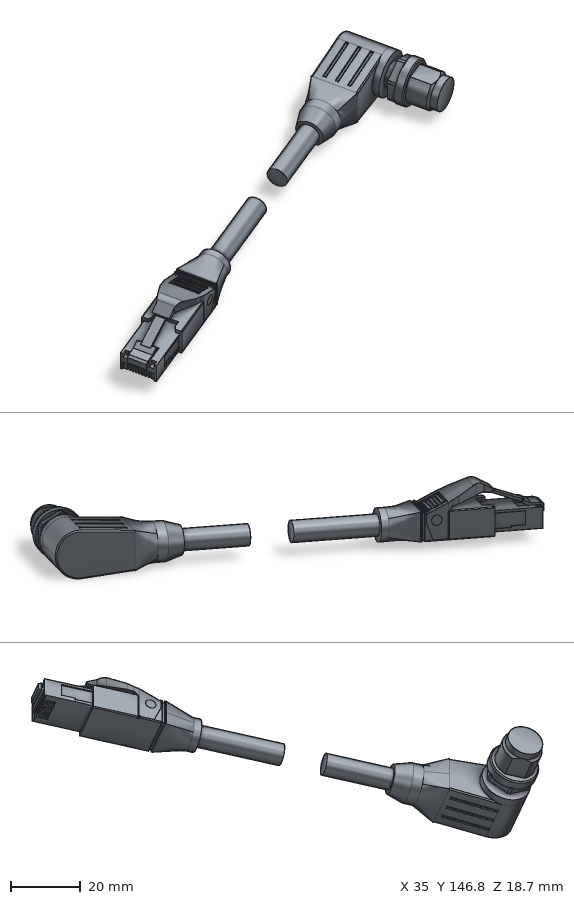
import cadquery as cq
import math

CABLE_D = 6.5

BODY_HALF_W = 7.5
HEAD_D = 14.6
HEAD_END_X = 9.75
SHOULDER_Y = -16.4
SHOULDER_H = 12.0
BODY_CHAMFER = 0.4

GRIP_PITCH = 4.0
GRIP_WIDTH = 0.9
GRIP_DEPTH = 0.5
GRIP_START_Y = -0.7
GRIP_END_Y = -15.0

BOOT_D = 12.0
BOOT_ROUND_Y = -23.7
BOOT_CONE_Y = -26.8
BOOT_END_Y = -31.9
BOOT_END_D = 8.9
ANGLED_CABLE_END_Y = -52.0

NECK_D = 8.4
HEX_START_X = 12.0
HEX_ACROSS_FLATS = 12.8
HEX_CORNER_D = 14.3
FLANGE_START_X = 14.6
FLANGE_END_X = 17.6
FLANGE_D = 14.8
FLANGE_CHAMFER = 0.4
SHELL_D = 12.0
SHELL_TIP_D = 10.5
SHELL_CHAMFER = (SHELL_D - SHELL_TIP_D) / 2
SHELL_CHAMFER_X = 24.45
CONNECTOR_END_X = 27.5

PLUG_CABLE_START_Y = -64.85
COLLAR_START_Y = -90.5
COLLAR_END_Y = -92.8
COLLAR_D = 9.9
CASE_START_Y = -101.8
CASE_END_Y = -123.8
CASE_W = 13.1
CASE_TOP_Z = 4.7
CASE_BOTTOM_Z = -4.2
CASE_CHAMFER = 0.3
STRAIN_W = 12.6
GROOVE_Y = -102.6
GROOVE_W = 0.8
GROOVE_DEPTH = 0.5

NOSE_END_Y = -138.35
NOSE_W = 11.6
NOSE_TOP_Z = 3.4
NOSE_BOTTOM_Z = -3.0
SIDE_RECESS_DEPTH = 0.4
SIDE_RECESS_END_Y = -133.2
SIDE_RECESS_STEP_Y = -129.0
SIDE_RECESS_TOP_Z = 2.6
SIDE_RECESS_BOTTOM_Z = -2.1
SIDE_RECESS_STEP_Z = -1.6

CONTACT_COUNT = 8
CONTACT_PITCH = 1.02
CONTACT_SLOT_W = 0.5
CONTACT_SLOT_LENGTH = 4.0
CONTACT_TOP_Z = -0.2
FACE_RECESS_W = 10.2
FACE_RECESS_DEPTH = 0.5
CORNER_NOTCH_INNER_X = 3.6
CORNER_NOTCH_OUTER_X = 5.0
CORNER_NOTCH_LENGTH = 1.6
CORNER_NOTCH_BOTTOM_Z = 1.9

CHANNEL_W = 7.6
CHANNEL_MOUTH_W = 9.0
CHANNEL_START_Y = -120.8
CHANNEL_FLARE_Y = -122.8

LATCH_W = 6.2
LATCH_ARM_W = 3.2
LATCH_ROOT_Y = -133.2
LATCH_END_Y = -139.35
LATCH_OVERLAP = 0.8
LATCH_SLOPE = 1 / 3
LATCH_KNEE_Y = -135.6
LATCH_KNEE_Z = 4.1
LATCH_LIP_Y = -138.4
LATCH_LIP_Z = 4.0
LATCH_ROOT_Z = 5.1
LATCH_T = 0.9
LATCH_ARM_LIFT = 0.3
LATCH_ARM_REACH = 0.7
LATCH_LIP_DROP = 0.4
LATCH_LIP_BOTTOM_Z = 1.5
LATCH_FOOT_Y = -136.0
LATCH_FOOT_Z = 2.4
LATCH_POCKET_START_Y = -131.6
LATCH_POCKET_DEPTH = 0.8

PIVOT_Y = -106.5
PIVOT_Z = 2.05
PIVOT_D = 3.1
LEVER_PLATE_T = 0.7
LEVER_SEAT_Z = 4.0
LEVER_BACK_Y = -103.4
LEVER_PLATE_END_Y = -110.0
LEVER_GAP = 0.3
LEVER_TOP_Z = 11.3
LEVER_PEAK_Y = -119.6
LEVER_CROWN_HALF = 1.5
LEVER_CROWN_RISE = 0.45
LEVER_TIP_Z = 8.9
LEVER_HEEL_Y = -123.9
LEVER_HEEL_Z = 8.0
LEVER_UNDERSIDE = [(-120.9, 8.3), (-111.3, 5.8)]
LEVER_FOOT_Z = -3.8
LEVER_FOOT_START_Y = -105.4
LEVER_FOOT_CHAMFER = 0.5
LEVER_BACK_CORNER_Z = 1.4
LEVER_SHOULDER_Y = -111.5
LEVER_TAPER_Y = -113.5
LEVER_TAPER_HALF_W = 5.9
LEVER_NOSE_Y = -121.6
LEVER_BREAK_Y = -119.0
LEVER_SHOULDER_HALF_W = 6.2
LEVER_BREAK_HALF_W = 3.8
LEVER_TIP_HALF_W = 2.8
LEVER_TIP_Y = -124.6
WINDOW_HALF_W = 4.8
WINDOW_START_Y = -104.2
WINDOW_END_Y = -110.1
WINDOW_DEPTH = 0.7
RIB_COUNT = 3
RIB_PITCH = 2.1
RIB_WIDTH = 0.9
RIB_HALF_W = 4.0


def block(x0, x1, y0, y1, z0, z1):
    """Box between two opposite corners."""
    return cq.Workplane("XY").box(x1 - x0, y1 - y0, z1 - z0, centered=False).translate((x0, y0, z0))


def rod_y(diameter, y_start, y_end):
    """Round rod on the cable axis, running toward -Y."""
    return cq.Workplane("XZ", origin=(0, y_start, 0)).circle(diameter / 2).extrude(y_start - y_end)


def rod_x(diameter, x_start, x_end):
    """Round rod on the connector axis, running toward +X."""
    return cq.Workplane("YZ", origin=(x_start, 0, 0)).circle(diameter / 2).extrude(x_end - x_start)


def side_profile(points, width):
    """Outline in Y and Z, extruded evenly about x = 0."""
    return cq.Workplane("YZ").polyline(points).close().extrude(width / 2, both=True)


def tapered_housing():
    """Teardrop housing whose straight sides are tangent to the round head."""
    radius = HEAD_D / 2
    shoulder = (SHOULDER_Y, SHOULDER_H / 2)
    reach = math.hypot(*shoulder)
    angle = math.atan2(shoulder[1], shoulder[0]) - math.acos(radius / reach)
    tangent = (radius * math.cos(angle), radius * math.sin(angle))
    housing = (
        cq.Workplane("YZ", origin=(-BODY_HALF_W, 0, 0))
        .moveTo(*shoulder)
        .lineTo(*tangent)
        .threePointArc((radius, 0), (tangent[0], -tangent[1]))
        .lineTo(shoulder[0], -shoulder[1])
        .close()
        .extrude(2 * BODY_HALF_W)
    )
    end_face_edges = housing.faces("<X or >X").edges("not |Z")
    return end_face_edges.chamfer(BODY_CHAMFER)


def grip_grooves():
    """Three grooves on the upper and lower housing faces, following the taper."""
    slope = math.atan2(HEAD_D / 2 - SHOULDER_H / 2, -SHOULDER_Y)
    length = GRIP_START_Y - GRIP_END_Y
    grooves = cq.Workplane("XY")
    for index in (-1, 0, 1):
        groove = (
            cq.Workplane("XY")
            .box(GRIP_WIDTH, length, 2 * GRIP_DEPTH)
            .translate((index * GRIP_PITCH, (GRIP_START_Y + GRIP_END_Y) / 2, 0))
            .rotate((0, 0, 0), (1, 0, 0), math.degrees(slope))
            .translate((0, 0, HEAD_D / 2))
        )
        grooves = grooves.add(groove).add(groove.mirror("XY"))
    return grooves.combine()


def boot():
    """Square-to-round transition, short cylinder and closing cone."""
    transition = (
        cq.Workplane("XZ", origin=(0, SHOULDER_Y, 0))
        .rect(2 * BODY_HALF_W, SHOULDER_H)
        .workplane(offset=SHOULDER_Y - BOOT_ROUND_Y)
        .circle(BOOT_D / 2)
        .loft(ruled=True)
    )
    collar = rod_y(BOOT_D, BOOT_ROUND_Y, BOOT_CONE_Y)
    cone = (
        cq.Workplane("XZ", origin=(0, BOOT_CONE_Y, 0))
        .circle(BOOT_D / 2)
        .workplane(offset=BOOT_CONE_Y - BOOT_END_Y)
        .circle(BOOT_END_D / 2)
        .loft(ruled=True)
    )
    return transition.union(collar).union(cone)


def coupling():
    """Neck, trimmed hexagon, flange and flatted shell along +X."""
    neck = rod_x(NECK_D, HEAD_END_X, HEX_START_X)
    corner_d = HEX_ACROSS_FLATS / math.cos(math.pi / 6)
    hexagon = (
        cq.Workplane("YZ", origin=(HEX_START_X, 0, 0))
        .polygon(6, corner_d)
        .extrude(FLANGE_START_X - HEX_START_X)
        .rotate((0, 0, 0), (1, 0, 0), 30)
        .intersect(rod_x(HEX_CORNER_D, HEX_START_X, FLANGE_START_X))
    )
    flange = rod_x(FLANGE_D, FLANGE_START_X, FLANGE_END_X).faces(">X").chamfer(FLANGE_CHAMFER)
    shell_end = SHELL_CHAMFER_X + SHELL_CHAMFER
    shell = rod_x(SHELL_D, FLANGE_END_X, shell_end).faces(">X").chamfer(SHELL_CHAMFER)
    flats = block(FLANGE_END_X, shell_end, -SHELL_D, SHELL_D, -SHELL_TIP_D / 2, SHELL_TIP_D / 2)
    tip = rod_x(SHELL_TIP_D, shell_end, CONNECTOR_END_X)
    return neck.union(hexagon).union(flange).union(shell.intersect(flats)).union(tip)


def angled_connector():
    head = rod_x(HEAD_D, -BODY_HALF_W + BODY_CHAMFER, HEAD_END_X)
    cable = rod_y(CABLE_D, BOOT_END_Y, ANGLED_CABLE_END_Y)
    housing = tapered_housing().union(head).cut(grip_grooves())
    return housing.union(boot()).union(cable).union(coupling())


def strain_relief():
    """Round collar and its transition to the rectangular case."""
    collar = rod_y(COLLAR_D, COLLAR_START_Y, COLLAR_END_Y)
    transition = (
        cq.Workplane("XZ", origin=(0, COLLAR_END_Y, 0))
        .circle(COLLAR_D / 2)
        .workplane(offset=COLLAR_END_Y - CASE_START_Y)
        .center(0, (CASE_TOP_Z + CASE_BOTTOM_Z) / 2)
        .rect(STRAIN_W, CASE_TOP_Z - CASE_BOTTOM_Z)
        .loft(ruled=True)
    )
    return collar.union(transition)


def case():
    """Rectangular case with a groove around its rear end and an open top channel at its front."""
    half = CASE_W / 2
    shape = block(-half, half, CASE_END_Y, CASE_START_Y, CASE_BOTTOM_Z, CASE_TOP_Z)
    shape = shape.edges("|Y").chamfer(CASE_CHAMFER)
    groove_band = block(
        -half, half, GROOVE_Y - GROOVE_W / 2, GROOVE_Y + GROOVE_W / 2, CASE_BOTTOM_Z, CASE_TOP_Z
    )
    groove_core = block(
        -half + GROOVE_DEPTH, half - GROOVE_DEPTH, CASE_END_Y, CASE_START_Y,
        CASE_BOTTOM_Z + GROOVE_DEPTH, CASE_TOP_Z - GROOVE_DEPTH,
    )
    channel = (
        cq.Workplane("XY", origin=(0, 0, NOSE_TOP_Z))
        .polyline([
            (-CHANNEL_W / 2, CHANNEL_START_Y), (CHANNEL_W / 2, CHANNEL_START_Y),
            (CHANNEL_W / 2, CHANNEL_FLARE_Y), (CHANNEL_MOUTH_W / 2, CASE_END_Y),
            (-CHANNEL_MOUTH_W / 2, CASE_END_Y), (-CHANNEL_W / 2, CHANNEL_FLARE_Y),
        ])
        .close()
        .extrude(CASE_TOP_Z - NOSE_TOP_Z)
    )
    return shape.cut(groove_band.cut(groove_core)).cut(channel)


def nose():
    """Plug nose with side recesses, contact slots and the pocket under the latch."""
    half = NOSE_W / 2
    shape = block(-half, half, NOSE_END_Y, CASE_END_Y, NOSE_BOTTOM_Z, NOSE_TOP_Z)
    recess = side_profile([
        (CASE_END_Y, SIDE_RECESS_TOP_Z), (SIDE_RECESS_END_Y, SIDE_RECESS_TOP_Z),
        (SIDE_RECESS_END_Y, SIDE_RECESS_STEP_Z), (SIDE_RECESS_STEP_Y, SIDE_RECESS_STEP_Z),
        (SIDE_RECESS_STEP_Y, SIDE_RECESS_BOTTOM_Z), (CASE_END_Y, SIDE_RECESS_BOTTOM_Z),
    ], NOSE_W)
    core_half = half - SIDE_RECESS_DEPTH
    core = block(-core_half, core_half, NOSE_END_Y, CASE_END_Y, NOSE_BOTTOM_Z, NOSE_TOP_Z)
    shape = shape.cut(recess.cut(core))
    for index in range(CONTACT_COUNT):
        x = (index - (CONTACT_COUNT - 1) / 2) * CONTACT_PITCH
        shape = shape.cut(block(
            x - CONTACT_SLOT_W / 2, x + CONTACT_SLOT_W / 2, NOSE_END_Y, NOSE_END_Y + CONTACT_SLOT_LENGTH,
            NOSE_BOTTOM_Z, CONTACT_TOP_Z,
        ))
    shape = shape.cut(block(
        -FACE_RECESS_W / 2, FACE_RECESS_W / 2, NOSE_END_Y, NOSE_END_Y + FACE_RECESS_DEPTH,
        NOSE_BOTTOM_Z, CONTACT_TOP_Z,
    ))
    notch = block(
        CORNER_NOTCH_INNER_X, CORNER_NOTCH_OUTER_X, NOSE_END_Y, NOSE_END_Y + CORNER_NOTCH_LENGTH,
        CORNER_NOTCH_BOTTOM_Z, NOSE_TOP_Z,
    )
    shape = shape.cut(notch).cut(notch.mirror("YZ"))
    pocket_half = LATCH_W / 2
    return shape.cut(block(
        -pocket_half, pocket_half, NOSE_END_Y, LATCH_POCKET_START_Y,
        NOSE_TOP_Z - LATCH_POCKET_DEPTH, NOSE_TOP_Z,
    ))


def latch():
    """Thin arm sloping down from the lever tip to a wide head at the front of the nose."""
    arm_end = LATCH_ROOT_Y - LATCH_OVERLAP
    arm_end_z = LATCH_ROOT_Z - LATCH_OVERLAP * LATCH_SLOPE
    arm = side_profile([
        (LEVER_HEEL_Y, LEVER_HEEL_Z), (LEVER_TIP_Y, LEVER_HEEL_Z + LATCH_ARM_LIFT),
        (arm_end, arm_end_z), (arm_end, arm_end_z - LATCH_T),
        (LEVER_HEEL_Y + LATCH_ARM_REACH, LEVER_HEEL_Z),
    ], LATCH_ARM_W)
    head = side_profile([
        (LATCH_ROOT_Y, LATCH_ROOT_Z), (LATCH_KNEE_Y, LATCH_KNEE_Z), (LATCH_LIP_Y, LATCH_LIP_Z),
        (LATCH_END_Y, LATCH_LIP_Z - LATCH_LIP_DROP), (LATCH_END_Y, LATCH_LIP_BOTTOM_Z),
        (NOSE_END_Y, LATCH_LIP_BOTTOM_Z), (LATCH_FOOT_Y, LATCH_FOOT_Z),
        (LATCH_ROOT_Y, LATCH_ROOT_Z - LATCH_T),
    ], LATCH_W)
    return arm.union(head)


def lever():
    """Bridge over the case with two side plates that turn on the pivot pins."""
    crown_z = LEVER_TOP_Z - LEVER_CROWN_RISE
    bridge = (
        cq.Workplane("YZ")
        .moveTo(LEVER_BACK_Y, LEVER_SEAT_Z)
        .lineTo(LEVER_PEAK_Y + LEVER_CROWN_HALF, crown_z)
        .threePointArc((LEVER_PEAK_Y, LEVER_TOP_Z), (LEVER_PEAK_Y - LEVER_CROWN_HALF, crown_z))
        .lineTo(LEVER_TIP_Y, LEVER_TIP_Z)
        .lineTo(LEVER_HEEL_Y, LEVER_HEEL_Z)
        .lineTo(*LEVER_UNDERSIDE[0])
        .lineTo(*LEVER_UNDERSIDE[1])
        .lineTo(LEVER_PLATE_END_Y, LEVER_SEAT_Z)
        .close()
        .extrude(CASE_W / 2, both=True)
    )
    plan_half = [
        (CASE_W / 2, LEVER_BACK_Y), (CASE_W / 2, LEVER_PLATE_END_Y),
        (LEVER_SHOULDER_HALF_W, LEVER_SHOULDER_Y), (LEVER_TAPER_HALF_W, LEVER_TAPER_Y),
        (LEVER_BREAK_HALF_W, LEVER_BREAK_Y), (LEVER_TIP_HALF_W, LEVER_NOSE_Y),
        (LEVER_TIP_HALF_W, LEVER_TIP_Y),
    ]
    plan = plan_half + [(-x, y) for x, y in reversed(plan_half)]
    outline = cq.Workplane("XY").polyline(plan).close().extrude(LEVER_TOP_Z)
    bridge = bridge.intersect(outline)
    plates = side_profile([
        (LEVER_BACK_Y, LEVER_SEAT_Z), (LEVER_PLATE_END_Y, LEVER_SEAT_Z),
        (LEVER_PLATE_END_Y, LEVER_FOOT_Z + LEVER_FOOT_CHAMFER),
        (LEVER_PLATE_END_Y + LEVER_FOOT_CHAMFER, LEVER_FOOT_Z),
        (LEVER_FOOT_START_Y, LEVER_FOOT_Z), (LEVER_BACK_Y, LEVER_BACK_CORNER_Z),
    ], CASE_W)
    inner = CASE_W / 2 - LEVER_PLATE_T
    plates = plates.cut(block(-inner, inner, LEVER_TIP_Y, LEVER_BACK_Y, CASE_BOTTOM_Z, LEVER_SEAT_Z))
    pivot = cq.Workplane("YZ").center(PIVOT_Y, PIVOT_Z).circle(PIVOT_D / 2).extrude(CASE_W, both=True)
    return bridge.union(plates).cut(pivot).cut(thumb_window())


def thumb_window():
    """Shallow thumb recess crossed by ribs, sunk along the sloping lever top."""
    rise = LEVER_TOP_Z - LEVER_CROWN_RISE - LEVER_SEAT_Z
    run = LEVER_BACK_Y - LEVER_PEAK_Y - LEVER_CROWN_HALF
    slope = math.atan2(rise, run)
    start = (LEVER_BACK_Y - WINDOW_START_Y) / math.cos(slope)
    end = (LEVER_BACK_Y - WINDOW_END_Y) / math.cos(slope)
    window = block(-WINDOW_HALF_W, WINDOW_HALF_W, -end, -start, -WINDOW_DEPTH, WINDOW_DEPTH)
    for index in range(RIB_COUNT):
        y = -(start + end) / 2 + (index - (RIB_COUNT - 1) / 2) * RIB_PITCH
        window = window.cut(block(
            -RIB_HALF_W, RIB_HALF_W, y - RIB_WIDTH / 2, y + RIB_WIDTH / 2, -WINDOW_DEPTH, WINDOW_DEPTH
        ))
    tilted = window.rotate((0, 0, 0), (1, 0, 0), -math.degrees(slope))
    return tilted.translate((0, LEVER_BACK_Y, LEVER_SEAT_Z))


def lever_gap():
    """Slots in the case sides just ahead of the lever plates."""
    half = CASE_W / 2
    inner = half - LEVER_PLATE_T
    front = LEVER_PLATE_END_Y - LEVER_GAP
    slot = block(inner, half, front, LEVER_PLATE_END_Y, CASE_BOTTOM_Z, CASE_TOP_Z)
    return slot.union(slot.mirror("YZ"))


def lever_seat():
    """Clears the case top under the back of the lever bridge."""
    half = CASE_W / 2
    return block(-half, half, LEVER_PLATE_END_Y, LEVER_BACK_Y, LEVER_SEAT_Z, CASE_TOP_Z)


def plug():
    cable = rod_y(CABLE_D, PLUG_CABLE_START_Y, COLLAR_START_Y)
    shape = cable.union(strain_relief()).union(case()).cut(lever_gap()).cut(lever_seat())
    return shape.union(nose()).union(latch())


angled_end = angled_connector()
release_lever = lever()
plug_end = plug().cut(release_lever)

result = cq.Compound.makeCompound([
    angled_end.solids().val(), plug_end.solids().val(), release_lever.solids().val(),
])